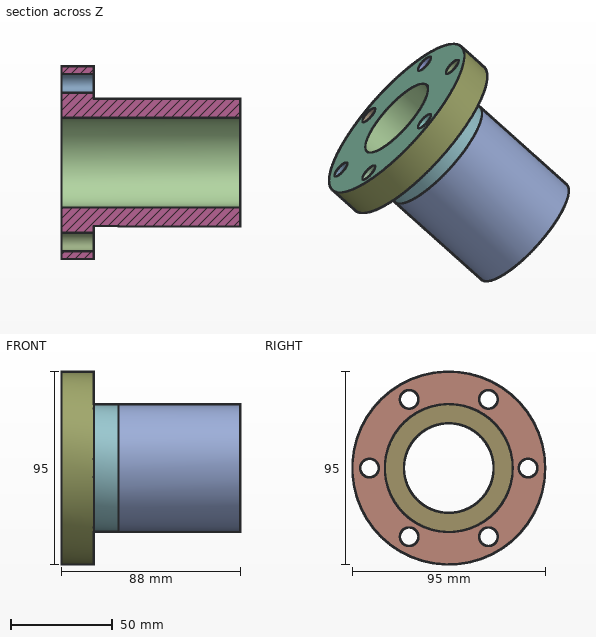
import cadquery as cq

flange_diameter = 95.0
flange_thickness = 16.0
overall_length = 88.0
body_diameter = 63.0
neck_diameter = 62.9
neck_length = 12.1
bore_diameter = 44.0

bolt_count = 6
bolt_circle_diameter = 78.0
bolt_hole_diameter = 9.0

body_start = flange_thickness + neck_length


def cylinder_along_x(start, end, diameter):
    """Solid cylinder on the X axis between two X positions."""
    return cq.Workplane("YZ", origin=(start, 0, 0)).circle(diameter / 2).extrude(end - start)


flange = cylinder_along_x(0, flange_thickness, flange_diameter)
neck = cylinder_along_x(0, body_start, neck_diameter)
body = cylinder_along_x(body_start, overall_length, body_diameter)
sleeve = flange.union(neck).union(body)

bore = cylinder_along_x(0, overall_length, bore_diameter)

bolt_holes = (
    cq.Workplane("YZ")
    .polarArray(bolt_circle_diameter / 2, 0, 360, bolt_count)
    .circle(bolt_hole_diameter / 2)
    .extrude(flange_thickness)
)

result = sleeve.cut(bore).cut(bolt_holes)